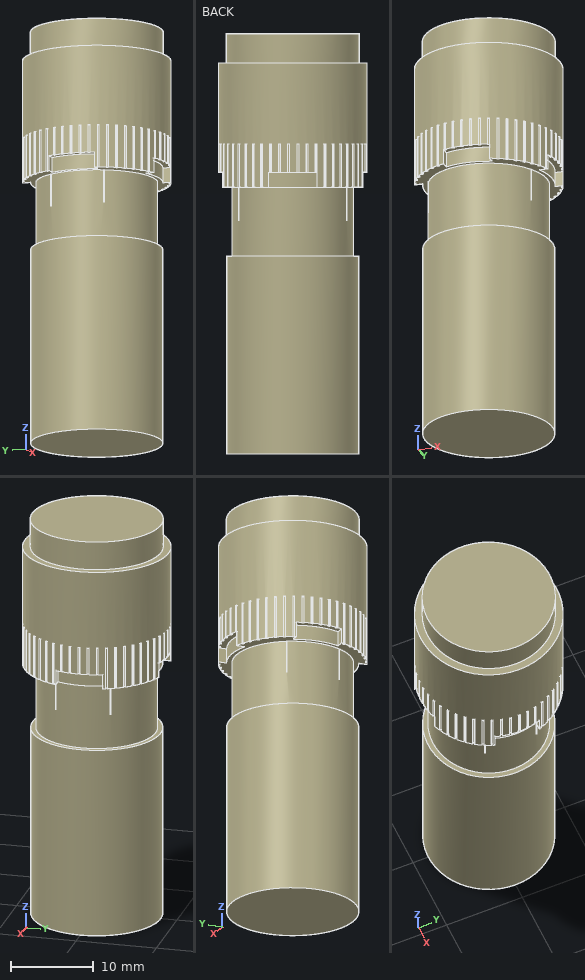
import cadquery as cq

TOTAL_HEIGHT = 50.8
BODY_TOP = 23.95
COLLAR_BOTTOM = 32.2
COLLAR_TOP = 47.25

BODY_DIAMETER = 16.0
NECK_DIAMETER = 14.75
COLLAR_DIAMETER = 18.0
CAP_DIAMETER = 16.1

SLEEVE_DIAMETER = 16.0
CUTOUT_COUNT = 4
CUTOUT_WIDTH = 5.85
CUTOUT_HEIGHT = 1.85

GROOVE_COUNT = 50
GROOVE_WIDTH = 0.23
GROOVE_DEPTH = 0.2
GROOVE_START_ANGLE = 0.4
GROOVE_TOP = 37.45

BLOCK_LENGTH = 13.1
BLOCK_WIDTH = 6.9
BLOCK_BOTTOM = 28.25

CLEARANCE = 0.5


def cylinder(diameter, bottom, top):
    return cq.Workplane("XY").workplane(offset=bottom).circle(diameter / 2).extrude(top - bottom)


def box_at_radius(inner_radius, width, bottom, top):
    """Box on the +X side, from inner_radius to just beyond the collar surface."""
    length = COLLAR_DIAMETER / 2 + CLEARANCE - inner_radius
    return (
        cq.Workplane("XY")
        .box(length, width, top - bottom, centered=(False, True, False))
        .translate((inner_radius, 0, bottom))
    )


def around_axis(tool, count, start_angle=0):
    """Equally spaced copies of a +X tool about Z."""
    copies = cq.Workplane("XY")
    for index in range(count):
        copies.add(tool.rotate((0, 0, 0), (0, 0, 1), start_angle + index * 360 / count))
    return copies.combine()


def make_collar():
    collar = cylinder(COLLAR_DIAMETER, COLLAR_BOTTOM, COLLAR_TOP)

    groove_floor = COLLAR_DIAMETER / 2 - GROOVE_DEPTH
    groove = box_at_radius(groove_floor, GROOVE_WIDTH, COLLAR_BOTTOM - CLEARANCE, GROOVE_TOP)
    collar = collar.cut(around_axis(groove, GROOVE_COUNT, GROOVE_START_ANGLE))

    cutout_top = COLLAR_BOTTOM + CUTOUT_HEIGHT
    cutout = box_at_radius(0, CUTOUT_WIDTH, COLLAR_BOTTOM - CLEARANCE, cutout_top)
    sleeve = cylinder(SLEEVE_DIAMETER, COLLAR_BOTTOM - CLEARANCE, cutout_top)
    return collar.cut(around_axis(cutout, CUTOUT_COUNT).cut(sleeve))


def make_neck():
    neck = cylinder(NECK_DIAMETER, BODY_TOP, COLLAR_BOTTOM)
    block = (
        cq.Workplane("XY")
        .workplane(offset=BLOCK_BOTTOM)
        .rect(BLOCK_LENGTH, BLOCK_WIDTH)
        .extrude(COLLAR_BOTTOM - BLOCK_BOTTOM)
    )
    return neck.union(block)


body = cylinder(BODY_DIAMETER, 0, BODY_TOP)
cap = cylinder(CAP_DIAMETER, COLLAR_TOP, TOTAL_HEIGHT)

result = body.union(make_neck()).union(make_collar()).union(cap)